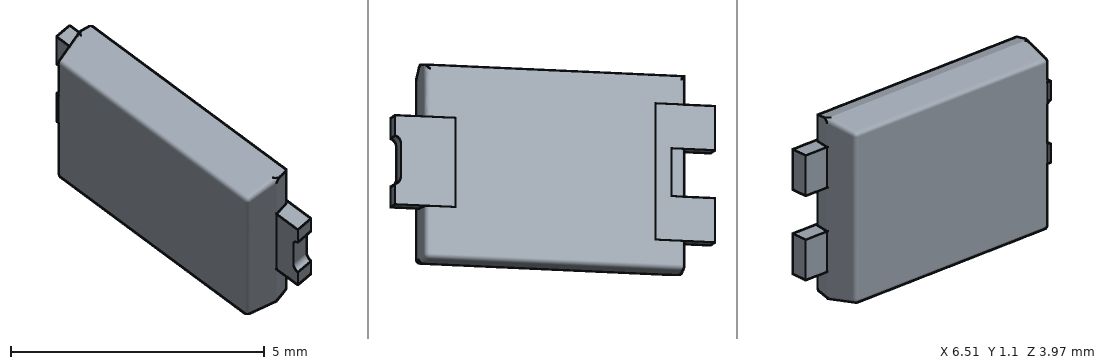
import cadquery as cq
import math

OVERALL_LENGTH = 6.51
THICKNESS = 1.1
WIDTH = 3.97

ANODE_REACH = 0.565
CATHODE_REACH = 0.57
LEAD_THICKNESS = 0.385
FRONT_DRAFT = 10.0
BACK_DRAFT = 7.0
EDGE_RADIUS = 0.1

LEG_WIDTH = 0.885
LEG_PITCH = 1.84
ANODE_EMBED = 0.325
BAR_WIDTH = 0.325

TAB_WIDTH = 1.785
CATHODE_EMBED = ANODE_EMBED + BAR_WIDTH
NOTCH_WIDTH = 0.975
NOTCH_DEPTH = 0.12
NOTCH_RADIUS = 0.16

LEFT_END = -OVERALL_LENGTH / 2
RIGHT_END = OVERALL_LENGTH / 2
HOUSING_LEFT = LEFT_END + ANODE_REACH
HOUSING_RIGHT = RIGHT_END - CATHODE_REACH
HOUSING_LENGTH = HOUSING_RIGHT - HOUSING_LEFT
HOUSING_CENTRE_X = (HOUSING_LEFT + HOUSING_RIGHT) / 2
BACK_Y = THICKNESS / 2
FRONT_Y = -THICKNESS / 2
PARTING_Y = BACK_Y - LEAD_THICKNESS


def drafted_half(face_y, draft):
    """Frustum from the parting plane to the face at face_y, its sides leaning in by draft degrees."""
    depth = abs(face_y - PARTING_Y)
    inset = depth * math.tan(math.radians(draft))
    direction = 1 if face_y > PARTING_Y else -1
    plane = cq.Plane(
        origin=(HOUSING_CENTRE_X, PARTING_Y, 0), xDir=(1, 0, 0), normal=(0, direction, 0)
    )
    return (
        cq.Workplane(plane)
        .rect(HOUSING_LENGTH, WIDTH)
        .workplane(offset=depth)
        .rect(HOUSING_LENGTH - 2 * inset, WIDTH - 2 * inset)
        .loft(ruled=True)
    )


def is_rounded(edge):
    """True for every housing edge except the parting line and the upper corners of the back half."""
    middle = edge.Center()
    on_parting_line = abs(middle.y - PARTING_Y) < EDGE_RADIUS / 2
    on_back_face = BACK_Y - middle.y < EDGE_RADIUS / 2
    upper_back_corner = middle.y > PARTING_Y and middle.z > 0 and not on_back_face
    return not on_parting_line and not upper_back_corner


def make_housing_blank():
    blank = drafted_half(FRONT_Y, FRONT_DRAFT).union(drafted_half(BACK_Y, BACK_DRAFT))
    rounded_edges = [edge for edge in blank.edges().vals() if is_rounded(edge)]
    return blank.newObject(rounded_edges).fillet(EDGE_RADIUS)


def lead_plate(x_start, x_end, width, centre_z):
    """Flat plate of lead thickness, flush with the back face."""
    return cq.Workplane("XY").box(
        x_end - x_start, LEAD_THICKNESS, width, centered=(False, False, True)
    ).translate((x_start, PARTING_Y, centre_z))


def make_anode():
    bar_start = HOUSING_LEFT + ANODE_EMBED
    anode = lead_plate(bar_start, bar_start + BAR_WIDTH, LEG_PITCH + LEG_WIDTH, 0)
    for side in (-1, 1):
        leg = lead_plate(LEFT_END, bar_start, LEG_WIDTH, side * LEG_PITCH / 2)
        anode = anode.union(leg)
    return anode


def make_cathode():
    tab = lead_plate(HOUSING_RIGHT - CATHODE_EMBED, RIGHT_END, TAB_WIDTH, 0)
    notch = lead_plate(RIGHT_END - NOTCH_DEPTH, RIGHT_END + NOTCH_DEPTH, NOTCH_WIDTH, 0)
    notch = notch.faces("<X").edges("|Y").fillet(NOTCH_RADIUS)
    return tab.cut(notch)


anode = make_anode()
cathode = make_cathode()
housing = make_housing_blank().cut(anode).cut(cathode)

result = cq.Compound.makeCompound([housing.val(), anode.val(), cathode.val()])